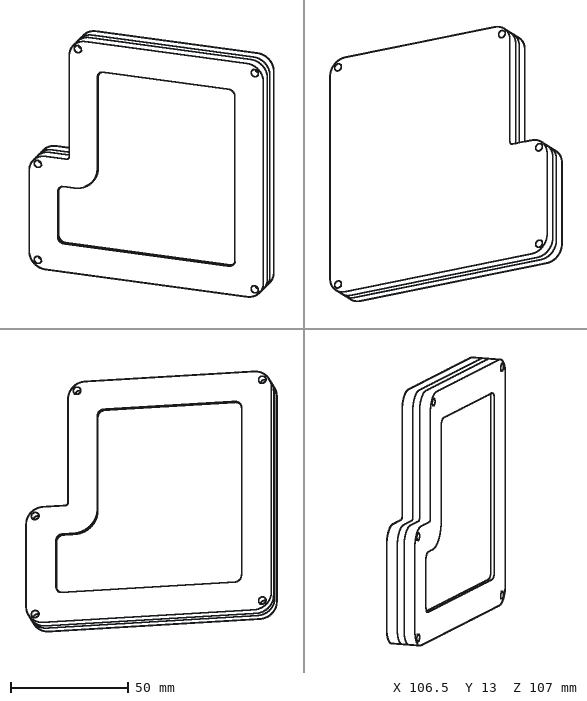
import cadquery as cq

WIDTH = 106.5
HEIGHT = 107.0
STEP_WIDTH = 18.2
STEP_HEIGHT = 55.1
CORNER_RADIUS = 7.5
STEP_INNER_RADIUS = 1.2

THICKNESS = 13.0
COVER_THICKNESS = 4.9
CORE_THICKNESS = THICKNESS - 2 * COVER_THICKNESS

WINDOW_MARGIN = 13.0
WINDOW_STEP_MARGIN = 12.7
WINDOW_CORNER_RADIUS = 3.0
WINDOW_STEP_RADIUS = 10.2
PANEL_RECESS = 1.6

HOLE_DIAMETER = 3.2
HOLE_INSET = 4.0


def stepped_plate(left, bottom, right, top, step_x, step_z, corner_radius, step_radius, front, thickness):
    """Rounded L-shaped plate parallel to XZ, from Y = front to Y = front + thickness."""
    corners = [
        (left, bottom),
        (right, bottom),
        (right, top),
        (step_x, top),
        (step_x, step_z),
        (left, step_z),
    ]
    plate = cq.Workplane("XZ", origin=(0, front, 0)).polyline(corners).close().extrude(-thickness)
    step_edge = cq.selectors.NearestToPointSelector((step_x, front + thickness / 2, step_z))
    convex_edges = cq.StringSyntaxSelector("|Y") - step_edge
    return plate.edges(convex_edges).fillet(corner_radius).edges(step_edge).fillet(step_radius)


def window_plate(front, thickness):
    """Plate with the outline of the window."""
    return stepped_plate(
        left=WINDOW_MARGIN,
        bottom=WINDOW_MARGIN,
        right=WIDTH - WINDOW_MARGIN,
        top=HEIGHT - WINDOW_MARGIN,
        step_x=STEP_WIDTH + WINDOW_STEP_MARGIN,
        step_z=HEIGHT - STEP_HEIGHT - WINDOW_STEP_MARGIN,
        corner_radius=WINDOW_CORNER_RADIUS,
        step_radius=WINDOW_STEP_RADIUS,
        front=front,
        thickness=thickness,
    )


def layer(front, thickness):
    """Full-outline plate with the screw holes through it."""
    plate = stepped_plate(
        left=0,
        bottom=0,
        right=WIDTH,
        top=HEIGHT,
        step_x=STEP_WIDTH,
        step_z=HEIGHT - STEP_HEIGHT,
        corner_radius=CORNER_RADIUS,
        step_radius=STEP_INNER_RADIUS,
        front=front,
        thickness=thickness,
    )
    hole_centers = [
        (HOLE_INSET, HOLE_INSET),
        (WIDTH - HOLE_INSET, HOLE_INSET),
        (WIDTH - HOLE_INSET, HEIGHT - HOLE_INSET),
        (STEP_WIDTH + HOLE_INSET, HEIGHT - HOLE_INSET),
        (HOLE_INSET, HEIGHT - STEP_HEIGHT - HOLE_INSET),
    ]
    holes = (
        cq.Workplane("XZ", origin=(0, front, 0))
        .pushPoints(hole_centers)
        .circle(HOLE_DIAMETER / 2)
        .extrude(-thickness)
    )
    return plate.cut(holes)


front_cover = layer(0, COVER_THICKNESS).cut(window_plate(0, COVER_THICKNESS))

panel = window_plate(PANEL_RECESS, COVER_THICKNESS - PANEL_RECESS)

core = layer(COVER_THICKNESS, CORE_THICKNESS)

back_cover = layer(COVER_THICKNESS + CORE_THICKNESS, COVER_THICKNESS)

result = cq.Compound.makeCompound([front_cover.val(), panel.val(), core.val(), back_cover.val()])